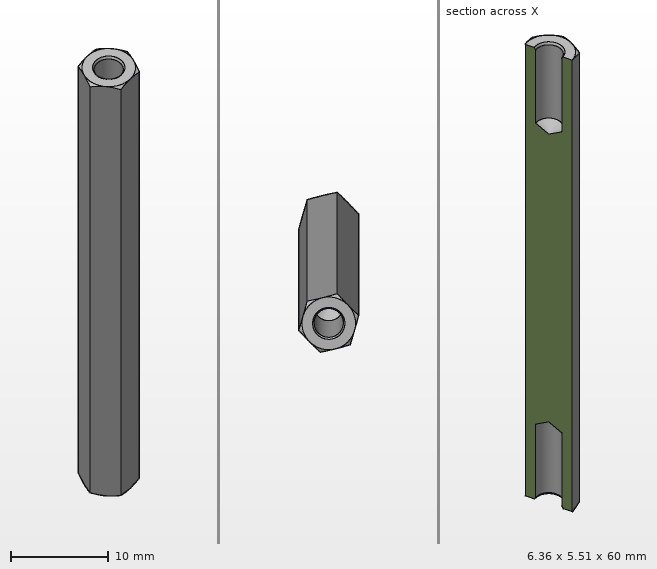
import cadquery as cq
import math

length = 60.0
across_corners = 6.358

end_face_diameter = 5.5
corner_chamfer_angle = 30.0

hole_diameter = 3.0
hole_depth = 10.0
drill_point_angle = 120.0
mouth_diameter = 3.32
mouth_angle = 60.0

top = length / 2


def cone_height(radius_change, included_angle):
    """Axial height over which a cone of this included angle changes radius."""
    return radius_change / math.tan(math.radians(included_angle / 2))


def revolve_about_z(profile):
    """Solid of revolution from a closed (radius, height) outline."""
    return cq.Workplane("XZ").polyline(profile).close().revolve(360, (0, 0), (0, 1))


def hexagonal_bar():
    """Bar with two of its corners on the X axis."""
    return (
        cq.Workplane("XY")
        .workplane(offset=-top)
        .polygon(6, across_corners)
        .extrude(length)
    )


def chamfer_envelope():
    """Round bar with coned ends; what lies outside it is turned away."""
    corner_radius = across_corners / 2
    face_radius = end_face_diameter / 2
    chamfer_height = (corner_radius - face_radius) * math.tan(math.radians(corner_chamfer_angle))
    shoulder = top - chamfer_height
    return revolve_about_z([
        (0, -top),
        (face_radius, -top),
        (corner_radius, -shoulder),
        (corner_radius, shoulder),
        (face_radius, top),
        (0, top),
    ])


def top_hole():
    """Cutter for the upper hole: countersunk mouth, straight bore, drill point."""
    bore_radius = hole_diameter / 2
    mouth_radius = mouth_diameter / 2
    mouth_depth = cone_height(mouth_radius - bore_radius, mouth_angle)
    point_depth = cone_height(bore_radius, drill_point_angle)
    bore_floor = top - hole_depth
    return revolve_about_z([
        (0, top),
        (mouth_radius, top),
        (bore_radius, top - mouth_depth),
        (bore_radius, bore_floor),
        (0, bore_floor - point_depth),
    ])


upper_hole = top_hole()
lower_hole = upper_hole.mirror("XY")

result = hexagonal_bar().intersect(chamfer_envelope()).cut(upper_hole).cut(lower_hole)